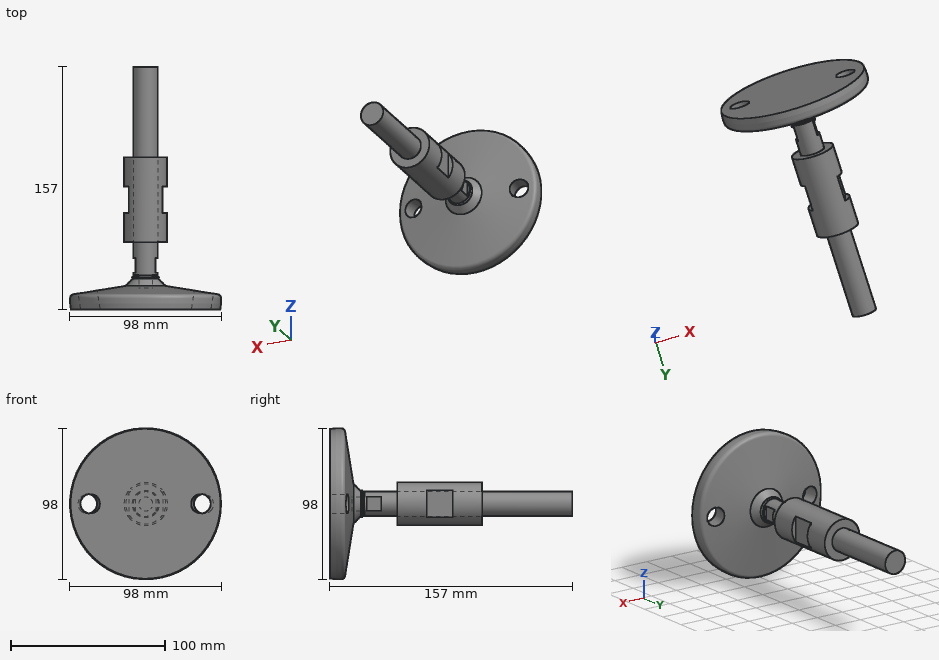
import cadquery as cq
import math

TOTAL_LENGTH = 157.0

RIM_DIAMETER = 97.98
SOLE_DIAMETER = 97.0
RIM_BOTTOM_Y = 4.0
RIM_TOP_Y = 7.2
RIM_FILLET = 2.8
CROWN_SLOPE = 9.1
HUB_BASE_RADIUS = 12.9
HUB_WAIST_RADIUS = 11.6
HUB_WAIST_Y = 16.7
HUB_TOP_RADIUS = 8.2
HUB_TOP_Y = 20.0
LIP_RADIUS = 8.8
LIP_Y = 20.9
DOME_MIDDLE_RADIUS = 6.5
DOME_MIDDLE_Y = 21.7
DOME_TOP_RADIUS = 4.5
DOME_TOP_Y = 22.1
FIXING_HOLE_DIAMETER = 12.5
FIXING_HOLE_OFFSET = 35.8

SPINDLE_DIAMETER = 16.0
SPINDLE_START_Y = 22.3
NECK_DIAMETER = 2 * DOME_TOP_RADIUS
NECK_SOCKET_DEPTH = 8.0
SPINDLE_FLAT_WIDTH = 13.0
SPINDLE_FLAT_START_Y = 23.8
SPINDLE_FLAT_LENGTH = 9.5

SLEEVE_DIAMETER = 28.0
SLEEVE_START_Y = 43.6
SLEEVE_LENGTH = 55.0
SLEEVE_FLAT_WIDTH = 22.0
SLEEVE_FLAT_LENGTH = 17.0


def cylinder_y(diameter, start, end):
    """Cylinder about the Y axis from start to end."""
    return cq.Workplane("XZ", origin=(0, start, 0)).circle(diameter / 2).extrude(start - end)


def cut_flats(body, diameter, across, start, length):
    """Mill two parallel flats facing -X and +X."""
    for side in (-1, 1):
        block = cq.Workplane("XY").box(diameter, length, diameter)
        body = body.cut(block.translate((side * (across + diameter) / 2, start + length / 2, 0)))
    return body


def neck():
    """Lower end of the spindle, which also shapes its socket in the foot."""
    return cylinder_y(NECK_DIAMETER, DOME_TOP_Y - NECK_SOCKET_DEPTH, SPINDLE_START_Y)


def make_foot():
    slope = math.radians(CROWN_SLOPE)
    rim_radius = RIM_DIAMETER / 2

    def rim_fillet_point(angle):
        """Point on the rim fillet whose outward normal is at this angle from +Y."""
        return (
            rim_radius - RIM_FILLET + RIM_FILLET * math.sin(angle),
            RIM_TOP_Y + RIM_FILLET * math.cos(angle),
        )

    fillet_middle = rim_fillet_point((slope + math.pi / 2) / 2)
    crown_edge = rim_fillet_point(slope)
    hub_base_y = crown_edge[1] + (crown_edge[0] - HUB_BASE_RADIUS) * math.tan(slope)
    foot = (
        cq.Workplane("XY")
        .lineTo(SOLE_DIAMETER / 2, 0)
        .lineTo(rim_radius, RIM_BOTTOM_Y)
        .lineTo(rim_radius, RIM_TOP_Y)
        .threePointArc(fillet_middle, crown_edge)
        .lineTo(HUB_BASE_RADIUS, hub_base_y)
        .lineTo(HUB_WAIST_RADIUS, HUB_WAIST_Y)
        .lineTo(HUB_TOP_RADIUS, HUB_TOP_Y)
        .lineTo(LIP_RADIUS, LIP_Y)
        .threePointArc((DOME_MIDDLE_RADIUS, DOME_MIDDLE_Y), (DOME_TOP_RADIUS, DOME_TOP_Y))
        .lineTo(0, DOME_TOP_Y)
        .close()
        .revolve(360, (0, 0, 0), (0, 1, 0))
    )
    for side in (-1, 1):
        drill = cylinder_y(FIXING_HOLE_DIAMETER, -HUB_TOP_Y, HUB_TOP_Y)
        drill = drill.rotate((0, 0, 0), (0, 0, 1), -side * CROWN_SLOPE)
        foot = foot.cut(drill.translate((side * FIXING_HOLE_OFFSET, 0, 0)))
    return foot.cut(neck())


def make_spindle():
    spindle = neck().union(cylinder_y(SPINDLE_DIAMETER, SPINDLE_START_Y, TOTAL_LENGTH))
    return cut_flats(spindle, SPINDLE_DIAMETER, SPINDLE_FLAT_WIDTH, SPINDLE_FLAT_START_Y, SPINDLE_FLAT_LENGTH)


def make_sleeve():
    sleeve_end = SLEEVE_START_Y + SLEEVE_LENGTH
    sleeve = cylinder_y(SLEEVE_DIAMETER, SLEEVE_START_Y, sleeve_end)
    sleeve = sleeve.cut(cylinder_y(SPINDLE_DIAMETER, SLEEVE_START_Y, sleeve_end))
    flat_start = SLEEVE_START_Y + (SLEEVE_LENGTH - SLEEVE_FLAT_LENGTH) / 2
    return cut_flats(sleeve, SLEEVE_DIAMETER, SLEEVE_FLAT_WIDTH, flat_start, SLEEVE_FLAT_LENGTH)


foot = make_foot()
spindle = make_spindle()
sleeve = make_sleeve()
result = cq.Compound.makeCompound([foot.val(), spindle.val(), sleeve.val()])